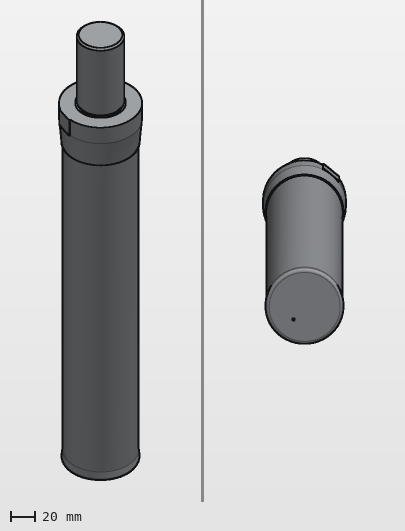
import cadquery as cq

total_height = 434.5
rod_exposed_length = 69.5
collar_height = 16.0
taper_height = 24.0
collar_top = total_height - rod_exposed_length
collar_bottom = collar_top - collar_height
tube_top = collar_bottom - taper_height

tube_radius = 31.3
collar_diameter = 68.0
collar_radius = collar_diameter / 2
taper_end_radius = 32.0
taper_end_step = 1.0
foot_height = 11.0
foot_radius = 32.0
foot_edge_radius = 3.0
seat_radius = 21.0
seat_depth = 1.7

nub_height = 1.5
nub_radius = 1.0
nub_offset = 14.0

pad_width = 17.0
pad_depth = 7.0

rod_radius = 19.5
rod_edge_chamfer = 1.7
neck_radius = rod_radius - rod_edge_chamfer
socket_floor = collar_bottom


def make_housing():
    """Turned housing with a blind socket for the rod, a flat pad on its collar and a nub below."""
    body = (
        cq.Workplane("XZ")
        .moveTo(0, nub_height)
        .lineTo(foot_radius - foot_edge_radius, nub_height)
        .radiusArc((foot_radius, nub_height + foot_edge_radius), -foot_edge_radius)
        .lineTo(tube_radius, foot_height)
        .lineTo(tube_radius, tube_top - taper_end_step)
        .lineTo(taper_end_radius, tube_top)
        .lineTo(collar_radius, collar_bottom)
        .lineTo(collar_radius, collar_top)
        .lineTo(seat_radius, collar_top)
        .lineTo(neck_radius, collar_top - seat_depth)
        .lineTo(neck_radius, socket_floor)
        .lineTo(0, socket_floor)
        .close()
        .revolve(360, (0, 0, 0), (0, 1, 0))
    )
    pad = (
        cq.Workplane("XY", origin=(0, -collar_radius, collar_bottom))
        .box(pad_width, pad_depth, collar_height, centered=(True, False, False))
    )
    nub = (
        cq.Workplane("XY", origin=(0, nub_offset, 0))
        .circle(nub_radius)
        .extrude(nub_height)
    )
    return body.union(pad).union(nub)


def make_rod():
    """Rod chamfered at its free end, narrowing to a neck that fills the socket."""
    return (
        cq.Workplane("XZ")
        .moveTo(0, socket_floor)
        .lineTo(neck_radius, socket_floor)
        .lineTo(neck_radius, collar_top)
        .lineTo(rod_radius, collar_top + rod_edge_chamfer)
        .lineTo(rod_radius, total_height - rod_edge_chamfer)
        .lineTo(rod_radius - rod_edge_chamfer, total_height)
        .lineTo(0, total_height)
        .close()
        .revolve(360, (0, 0, 0), (0, 1, 0))
    )


housing = make_housing()
rod = make_rod()
result = cq.Compound.makeCompound([housing.val(), rod.val()])